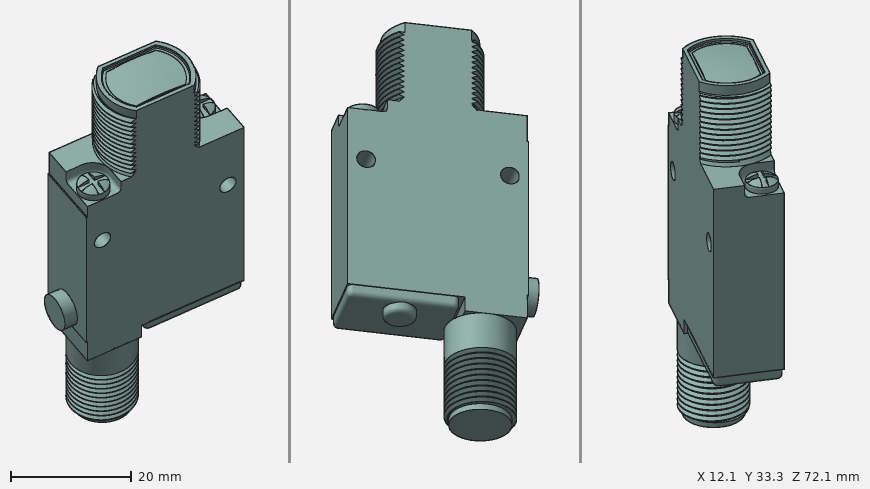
import cadquery as cq

HALF_WIDTH = 6.05
BACK_Y = 15.4
FRONT_Y = -BACK_Y
TRIM_FRONT_Y = -15.2
CONNECTOR_BOTTOM_Z = 0.0
BASE_BOTTOM_Z = 18.0
BASE_STEP_Z = 20.7
HOUSING_BOTTOM_Z = 22.4
HOUSING_TOP_Z = 52.0
CAP_TOP_Z = 56.9
NOSE_TOP_Z = 72.1

BASE_STEP_Y = -4.6

COVER_INSET = 0.15
COVER_FRONT_Y = -3.75
COVER_BOTTOM_Z = 18.6
COVER_CORNER_RADIUS = 0.95
COVER_EDGE_RADIUS = 0.9
COVER_SCREW_X = -2.7
COVER_SCREW_Y = 5.8
COVER_SCREW_RADIUS = 2.8
COVER_SCREW_BOTTOM_Z = 16.9
COVER_SCREW_EDGE_RADIUS = 0.8

SCREW_X = 3.0
SCREW_Y = 12.2
SCREW_RADIUS = 2.8
SCREW_RIM_HEIGHT = 0.9
SCREW_SHOULDER_HEIGHT = 1.2
SCREW_SHOULDER_RADIUS = 2.75
SCREW_HEIGHT = 2.0
SCREW_SLOT_WIDTH = 1.1
POCKET_FLOOR_Z = 54.5
POCKET_EDGE_X = 0.7
POCKET_EDGE_Y = 8.65
POCKET_CORNER_RADIUS = 3.45
POCKET_FLOOR_RADIUS = 0.8

GROOVE_FILL = 0.96
GROOVE_OVERLAP = 0.1

NOSE_THREAD_RADIUS = 9.0
NOSE_ROOT_RADIUS = 8.4
NOSE_COLLAR_RADIUS = 8.3
NOSE_COLLAR_Z = 70.25
NOSE_RELIEF_Z = 57.8
NOSE_FLARE_RADIUS = 8.95
NOSE_CREST_Z = 58.1
NOSE_THREAD_SPAN = 12.0
NOSE_THREAD_TURNS = 12

WINDOW_RADIUS = 7.4
WINDOW_HALF_WIDTH = 5.35
WINDOW_DEPTH = 0.6
WINDOW_CHAMFER = 0.18
LENS_RADIUS = 6.7
LENS_HALF_WIDTH = 4.7
LENS_SPHERE_RADIUS = 43.3
LENS_TOP_Z = 72.1

CONNECTOR_Y = -8.6
CONNECTOR_RADIUS = 6.05
CONNECTOR_ROOT_RADIUS = 5.4
CONNECTOR_TIP_RADIUS = 5.3
CONNECTOR_TIP_Z = 1.1
CONNECTOR_CREST_Z = 1.7
CONNECTOR_THREAD_SPAN = 9.5
CONNECTOR_THREAD_TURNS = 9

BUTTON_RADIUS = 3.25
BUTTON_Z = 25.7
BUTTON_FRONT_Y = -17.9
MOUNT_HOLE_RADIUS = 1.6
MOUNT_HOLE_Y = 12.25
MOUNT_HOLE_Z = 45.0

POST_RADIUS = 0.8
POST_Y = -11.2
POST_TOP_Z = 45.8


def block(half_width, y_front, y_back, z_bottom, z_top):
    """Box centred on X, given by its limits along Y and Z."""
    size = (2 * half_width, y_back - y_front, z_top - z_bottom)
    return cq.Workplane().box(*size, centered=(True, False, False)).translate((0, y_front, z_bottom))


def cylinder(radius, z_bottom, z_top, x=0, y=0):
    """Upright cylinder between two heights."""
    return cq.Workplane().circle(radius).extrude(z_top - z_bottom).translate((x, y, z_bottom))


def flatted_cylinder(radius, half_width, z_bottom, z_top):
    """Upright cylinder with two flats facing -X and +X."""
    return cylinder(radius, z_bottom, z_top).intersect(
        block(half_width, -radius, radius, z_bottom, z_top)
    )


def thread_groove(crest_radius, root_radius, pitch, turns, z_start):
    """Right-hand helical V groove that starts on the +Y side at z_start."""
    half_mouth = GROOVE_FILL * pitch / 2
    outer = crest_radius + GROOVE_OVERLAP
    helix = cq.Wire.makeHelix(pitch, turns * pitch, root_radius)
    profile = cq.Workplane("XZ").polyline(
        [(root_radius, 0), (outer, half_mouth), (outer, -half_mouth)]
    ).close()
    groove = profile.sweep(cq.Workplane(helix), isFrenet=True)
    return groove.rotate((0, 0, 0), (0, 0, 1), 90).translate((0, 0, z_start))


def make_body():
    """Housing with the cap above it and the stepped base below it."""
    housing = block(HALF_WIDTH, FRONT_Y, BACK_Y, HOUSING_BOTTOM_Z, HOUSING_TOP_Z)
    cap = block(HALF_WIDTH, TRIM_FRONT_Y, BACK_Y, HOUSING_TOP_Z, CAP_TOP_Z)
    base = block(HALF_WIDTH, TRIM_FRONT_Y, BACK_Y, BASE_STEP_Z, HOUSING_BOTTOM_Z)
    foot = block(HALF_WIDTH, TRIM_FRONT_Y, BASE_STEP_Y, BASE_BOTTOM_Z, BASE_STEP_Z)
    return housing.union(cap).union(base).union(foot)


def make_screw_pocket():
    """Corner pocket at -X, +Y with a rounded inner corner and floor edge."""
    margin = POCKET_CORNER_RADIUS
    x_min = -HALF_WIDTH - margin
    y_max = BACK_Y + margin
    return (
        cq.Workplane()
        .box(POCKET_EDGE_X - x_min, y_max - POCKET_EDGE_Y, CAP_TOP_Z - POCKET_FLOOR_Z, centered=False)
        .translate((x_min, POCKET_EDGE_Y, POCKET_FLOOR_Z))
        .edges("|Z and >X and <Y")
        .fillet(POCKET_CORNER_RADIUS)
        .faces("<Z")
        .edges()
        .fillet(POCKET_FLOOR_RADIUS)
    )


def make_cap_screw():
    """Domed screw head with a cross slot, standing on the pocket floor at -X, +Y."""
    dome_rise = SCREW_HEIGHT - SCREW_SHOULDER_HEIGHT
    dome_radius = (SCREW_SHOULDER_RADIUS**2 + dome_rise**2) / (2 * dome_rise)
    profile = (
        cq.Workplane("XZ")
        .lineTo(SCREW_RADIUS, 0)
        .lineTo(SCREW_RADIUS, SCREW_RIM_HEIGHT)
        .lineTo(SCREW_SHOULDER_RADIUS, SCREW_SHOULDER_HEIGHT)
        .radiusArc((0, SCREW_HEIGHT), -dome_radius)
        .close()
    )
    head = profile.revolve(360, (0, 0, 0), (0, 1, 0))
    for size in ((2 * SCREW_RADIUS, SCREW_SLOT_WIDTH), (SCREW_SLOT_WIDTH, 2 * SCREW_RADIUS)):
        slot = cq.Workplane().rect(*size).extrude(SCREW_HEIGHT).translate((0, 0, SCREW_SHOULDER_HEIGHT))
        head = head.cut(slot)
    return head.translate((-SCREW_X, SCREW_Y, POCKET_FLOOR_Z))


def make_nose():
    """Threaded nose with two flats, a plain collar on top and a flared foot."""
    pitch = NOSE_THREAD_SPAN / NOSE_THREAD_TURNS
    groove = thread_groove(
        NOSE_THREAD_RADIUS, NOSE_ROOT_RADIUS, pitch, NOSE_THREAD_TURNS + 1, NOSE_CREST_Z - pitch / 2
    )
    rod = cylinder(NOSE_THREAD_RADIUS, NOSE_RELIEF_Z - pitch, NOSE_COLLAR_Z + 2 * pitch).cut(groove)
    thread = rod.intersect(block(HALF_WIDTH, FRONT_Y, BACK_Y, NOSE_RELIEF_Z, NOSE_COLLAR_Z))
    core = cylinder(NOSE_COLLAR_RADIUS, CAP_TOP_Z, NOSE_TOP_Z)
    flare = (
        cq.Workplane("XZ")
        .polyline(
            [
                (0, CAP_TOP_Z),
                (NOSE_FLARE_RADIUS, CAP_TOP_Z),
                (NOSE_ROOT_RADIUS, NOSE_RELIEF_Z),
                (0, NOSE_RELIEF_Z),
            ]
        )
        .close()
        .revolve(360, (0, 0, 0), (0, 1, 0))
    )
    flats = block(HALF_WIDTH, FRONT_Y, BACK_Y, CAP_TOP_Z, NOSE_TOP_Z)
    nose = core.union(flare).intersect(flats).union(thread)
    return cut_window(nose)


def cut_window(nose):
    """Sink a chamfered window into the nose and set the domed lens in it."""
    floor_z = NOSE_TOP_Z - WINDOW_DEPTH
    window = (
        flatted_cylinder(WINDOW_RADIUS, WINDOW_HALF_WIDTH, floor_z, NOSE_TOP_Z)
        .faces("<Z")
        .chamfer(WINDOW_CHAMFER)
    )
    lens = flatted_cylinder(LENS_RADIUS, LENS_HALF_WIDTH, floor_z, NOSE_TOP_Z)
    dome = cq.Workplane().sphere(LENS_SPHERE_RADIUS).translate((0, 0, LENS_TOP_Z - LENS_SPHERE_RADIUS))
    return nose.cut(window).union(lens.intersect(dome))


def make_connector():
    """Threaded plug with a plain shoulder above and a narrower tip below."""
    pitch = CONNECTOR_THREAD_SPAN / CONNECTOR_THREAD_TURNS
    shank = cylinder(CONNECTOR_RADIUS, CONNECTOR_TIP_Z, BASE_BOTTOM_Z)
    groove = thread_groove(
        CONNECTOR_RADIUS,
        CONNECTOR_ROOT_RADIUS,
        pitch,
        CONNECTOR_THREAD_TURNS + 2,
        CONNECTOR_CREST_Z - 1.5 * pitch,
    )
    tip = cylinder(CONNECTOR_TIP_RADIUS, CONNECTOR_BOTTOM_Z, BASE_BOTTOM_Z)
    return shank.cut(groove).union(tip).translate((0, CONNECTOR_Y, 0))


def make_cover():
    """Rounded cover plate with the screw head below it."""
    plate = (
        block(HALF_WIDTH - COVER_INSET, COVER_FRONT_Y, BACK_Y - COVER_INSET, COVER_BOTTOM_Z, BASE_STEP_Z)
        .edges("|Z")
        .fillet(COVER_CORNER_RADIUS)
        .faces("<Z")
        .edges()
        .fillet(COVER_EDGE_RADIUS)
    )
    screw = (
        cylinder(COVER_SCREW_RADIUS, COVER_SCREW_BOTTOM_Z, BASE_STEP_Z, COVER_SCREW_X, COVER_SCREW_Y)
        .faces("<Z")
        .edges()
        .fillet(COVER_SCREW_EDGE_RADIUS)
    )
    return plate.union(screw)


def make_button():
    """Round button on the front face of the housing."""
    return (
        cq.Workplane("XZ", origin=(0, FRONT_Y, BUTTON_Z))
        .circle(BUTTON_RADIUS)
        .extrude(FRONT_Y - BUTTON_FRONT_Y)
    )


def make_mount_holes():
    """Two holes through the full width of the housing."""
    return (
        cq.Workplane("YZ")
        .pushPoints([(side * MOUNT_HOLE_Y, MOUNT_HOLE_Z) for side in (1, -1)])
        .circle(MOUNT_HOLE_RADIUS)
        .extrude(HALF_WIDTH, both=True)
    )


def make_post():
    """Post that rises from solid material and covers one edge of the front mounting hole."""
    return cylinder(POST_RADIUS, MOUNT_HOLE_Z - 2 * MOUNT_HOLE_RADIUS, POST_TOP_Z, y=POST_Y)


body = make_body().cut(make_mount_holes())
for turn in (0, 180):
    body = body.cut(make_screw_pocket().rotate((0, 0, 0), (0, 0, 1), turn))
for part in (make_nose(), make_connector(), make_cover(), make_button(), make_post()):
    body = body.union(part)
for turn in (0, 180):
    body = body.union(make_cap_screw().rotate((0, 0, 0), (0, 0, 1), turn))

result = body